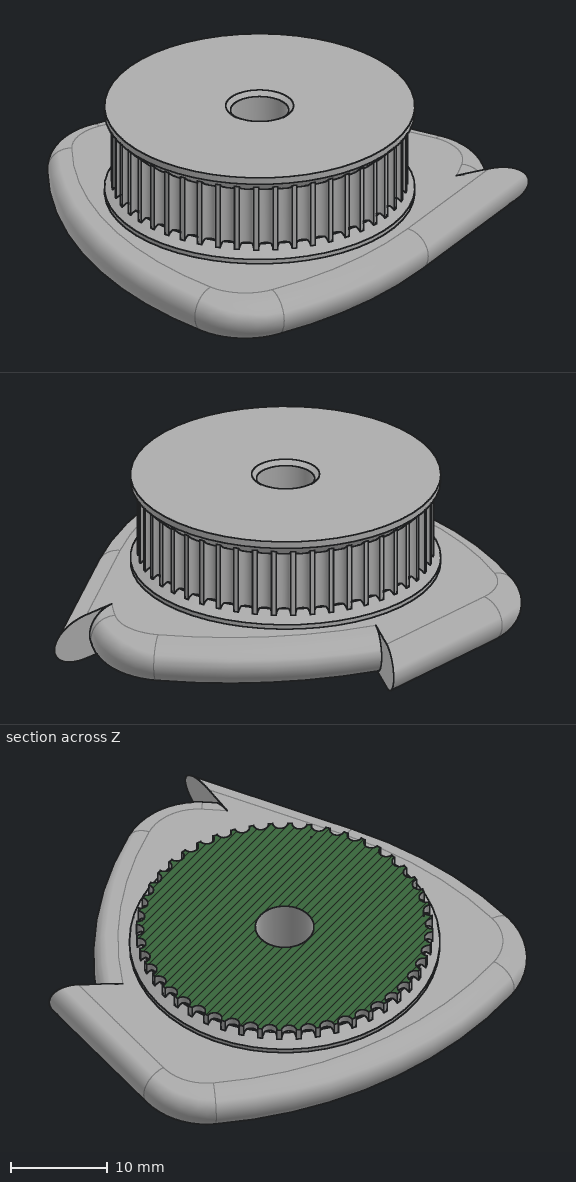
import cadquery as cq
import math

plate_thickness = 5.0
rim_radius = plate_thickness / 2
sides = 3
side_step = 360 / sides
first_side_angle = -90
right_side_angle = first_side_angle + side_step
left_corner_angle = first_side_angle - side_step / 2
triangle_reach = 23.5
triangle_corner_radius = 5.5
rim_inset = 3.0

spike_inset = 8.0
spike_length = 30.0
cut_offset = 5.3
side_spike_angle = 32.95
side_spike_cut_angle = 0.0
corner_spike_angle = 183.9
corner_spike_cut_angle = 240.0

total_height = 15.0
tooth_count = 48
belt_pitch = 2.0
tooth_tip_radius = tooth_count * belt_pitch / (2 * math.pi)
land_width = 0.5
groove_radius = (belt_pitch - land_width) / 2
flange_radius = 16.0
upper_flange_edge = 0.75
lower_flange_edge = 0.5
flange_lip = 0.5
flange_inner_radius = tooth_tip_radius - flange_lip

bore_radius = 3.0
bore_chamfer = 0.5

side_radius = triangle_reach * math.sqrt(3) + rim_radius
corner_radius = triangle_corner_radius + rim_radius

center_gap = side_radius - corner_radius
corner_distance = (math.sqrt(4 * center_gap**2 - 3 * triangle_reach**2) - triangle_reach) / 2

corner_offset = corner_distance * math.sin(math.radians(side_step / 2))
side_half_angle = math.degrees(math.asin(corner_offset / center_gap))


def polar(radius, degrees, center=(0, 0)):
    angle = math.radians(degrees)
    return (center[0] + radius * math.cos(angle), center[1] + radius * math.sin(angle))


def plate_outline(inset):
    """Closed outline of the plate, shifted inwards by inset."""
    side_arc = side_radius - inset
    corner_tip_distance = corner_distance + corner_radius - inset
    outline = cq.Workplane("XY")
    for i in range(sides):
        facing = first_side_angle + i * side_step
        center = polar(triangle_reach, facing + 180)
        next_center = polar(triangle_reach, facing + side_step + 180)
        start = polar(side_arc, facing - side_half_angle, center)
        middle = polar(side_arc, facing, center)
        end = polar(side_arc, facing + side_half_angle, center)
        corner_tip = polar(corner_tip_distance, facing + side_step / 2)
        next_start = polar(side_arc, facing + side_step - side_half_angle, next_center)
        if i == 0:
            outline = outline.moveTo(*start)
        outline = outline.threePointArc(middle, end).threePointArc(corner_tip, next_start)
    return outline.close()


def rim_section(point, outward_angle, inset):
    """Half-round rim profile, standing upright at a point of the outline."""
    sideways = polar(1, outward_angle - 90)
    plane = cq.Plane(
        origin=(*point, rim_radius),
        xDir=(*polar(1, outward_angle), 0),
        normal=(*sideways, 0),
    )
    return (
        cq.Workplane(plane)
        .moveTo(-inset, -rim_radius)
        .lineTo(-rim_radius, -rim_radius)
        .threePointArc((0, 0), (-rim_radius, rim_radius))
        .lineTo(-inset, rim_radius)
        .close()
    )


def make_plate():
    core = plate_outline(rim_radius).extrude(plate_thickness)
    start_angle = first_side_angle - side_half_angle
    start_point = polar(side_radius, start_angle, polar(triangle_reach, first_side_angle + 180))
    rim = rim_section(start_point, start_angle, rim_inset).sweep(plate_outline(0))
    return core.union(rim)


def make_spike(tangent_point, outward_angle, length, cut_angle):
    """Bar along the tangent, kept only on the side that its cut plane faces.

    A positive length runs clockwise around the part, a negative one counter-clockwise.
    """
    bar = rim_section(tangent_point, outward_angle, spike_inset).extrude(length)
    block_size = 4 * triangle_reach
    kept_side = (
        cq.Workplane("XY")
        .box(block_size, block_size, block_size)
        .translate((cut_offset + block_size / 2, 0, 0))
        .rotate((0, 0, 0), (0, 0, 1), cut_angle)
    )
    return bar.intersect(kept_side)


def make_side_spike():
    center = polar(triangle_reach, right_side_angle + 180)
    point = polar(side_radius, side_spike_angle, center)
    return make_spike(point, side_spike_angle, -spike_length, side_spike_cut_angle)


def make_corner_spike():
    center = polar(corner_distance, left_corner_angle)
    point = polar(corner_radius, corner_spike_angle, center)
    return make_spike(point, corner_spike_angle, spike_length, corner_spike_cut_angle)


def make_toothed_core():
    """Cylinder with round grooves centred on the tooth tip circle."""
    height = total_height - plate_thickness
    blank = cq.Workplane("XY").workplane(offset=plate_thickness)
    groove_layout = blank.polarArray(tooth_tip_radius, 0, 360, tooth_count)
    grooves = groove_layout.circle(groove_radius).extrude(height)
    return blank.circle(tooth_tip_radius).extrude(height).cut(grooves)


def make_flange(outer_z, edge, inward):
    """Disc whose inner face tapers at 45 degrees towards the teeth; inward is +1 up or -1 down."""
    edge_z = outer_z + inward * edge
    taper = flange_radius - flange_inner_radius
    return (
        cq.Workplane("XZ")
        .moveTo(0, outer_z)
        .lineTo(flange_radius, outer_z)
        .lineTo(flange_radius, edge_z)
        .lineTo(flange_inner_radius, edge_z + inward * taper)
        .lineTo(0, edge_z + inward * taper)
        .close()
        .revolve(360, (0, 0, 0), (0, 1, 0))
    )


def make_bore():
    return (
        cq.Workplane("XZ")
        .lineTo(bore_radius, 0)
        .lineTo(bore_radius, total_height - bore_chamfer)
        .lineTo(bore_radius + bore_chamfer, total_height)
        .lineTo(0, total_height)
        .close()
        .revolve(360, (0, 0, 0), (0, 1, 0))
    )


plate = make_plate().union(make_side_spike()).union(make_corner_spike())
pulley = (
    make_toothed_core()
    .union(make_flange(plate_thickness, lower_flange_edge, 1))
    .union(make_flange(total_height, upper_flange_edge, -1))
)
result = plate.union(pulley).cut(make_bore())